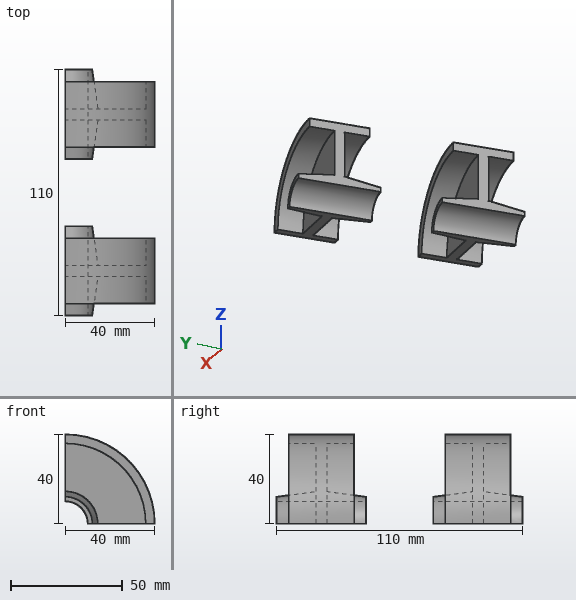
import cadquery as cq

overall_length = 110.0
outer_radius = 40.0
rim_thickness = 4.1
rim_width = 29.3
web_thickness = 5.0
bore_radius = 10.0
hub_length = 40.0
hub_end_radius = 12.1
hub_root_radius = 14.5
sector_angle = 90.0

rim_inner_radius = outer_radius - rim_thickness
wheel_offset = (overall_length - hub_length) / 2


def make_quarter_wheel(center_y):
    """Revolve the rim, web and tapered hub section a quarter turn about Y."""
    half_hub = hub_length / 2
    half_web = web_thickness / 2
    half_rim = rim_width / 2
    half_section = [
        (bore_radius, half_hub),
        (hub_end_radius, half_hub),
        (hub_root_radius, half_web),
        (rim_inner_radius, half_web),
        (rim_inner_radius, half_rim),
        (outer_radius, half_rim),
    ]
    mirrored_half = [(radius, -y) for radius, y in reversed(half_section)]
    wheel = (
        cq.Workplane("XY")
        .polyline(half_section + mirrored_half)
        .close()
        .revolve(sector_angle, (0, 0, 0), (0, -1, 0))
    )
    return wheel.translate((0, center_y, 0))


quarter_wheels = [make_quarter_wheel(side * wheel_offset) for side in (-1, 1)]

result = cq.Compound.makeCompound([wheel.val() for wheel in quarter_wheels])